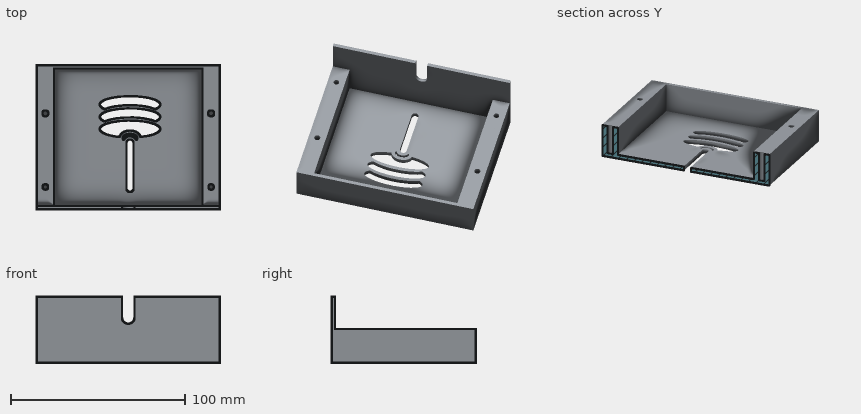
import cadquery as cq

WIDTH = 105.0
DEPTH = 82.62
TRAY_HEIGHT = 19.5
WALL = 2.0
FLOOR = 2.65
SIDE_RAIL = 10.0

PANEL_HEIGHT = 38.0
NOTCH_WIDTH = 7.0
NOTCH_CENTRE_Z = 26.0

HOLE_X = WIDTH / 2 - SIDE_RAIL / 2
FRONT_HOLE_Y = 12.8
FRONT_HOLE_DIAMETER = 3.2
REAR_HOLE_Y = 55.0
REAR_HOLE_DIAMETER = 3.5
HOLE_DEPTH = TRAY_HEIGHT - FLOOR

OPENING_X = 1.0
SLOT_WIDTH = 4.0
SLOT_FRONT_Y = 10.0
SLOT_REAR_Y = 40.0
BRIDGE = 2.0
VENT_RADIUS_X = 17.25
VENT_RADIUS_Y = 4.8
VENT_FRONT_Y = 46.0
VENT_PITCH = 7.0
VENT_COUNT = 3
SMALL_VENT_RADIUS_X = 4.1
SMALL_VENT_RADIUS_Y = 2.4
SMALL_VENT_Y = 40.8


def box(size_x, y_start, y_end, z_start, z_end):
    """Block centred on X, given by its limits along Y and Z."""
    block = cq.Workplane("XY").box(size_x, y_end - y_start, z_end - z_start, centered=(True, False, False))
    return block.translate((0, y_start, z_start))


def make_tray():
    """Open tray closed at the front by the tall panel."""
    tray = box(WIDTH, 0, DEPTH, 0, TRAY_HEIGHT)
    panel = box(WIDTH, 0, WALL, 0, PANEL_HEIGHT)
    pocket = box(WIDTH - 2 * SIDE_RAIL, WALL, DEPTH - WALL, FLOOR, TRAY_HEIGHT)
    return tray.union(panel).cut(pocket)


def make_notch():
    """Cable notch, open at the top edge of the front panel."""
    straight = box(NOTCH_WIDTH, 0, WALL, NOTCH_CENTRE_Z, PANEL_HEIGHT)
    bottom = (
        cq.Workplane("XZ")
        .center(0, NOTCH_CENTRE_Z)
        .circle(NOTCH_WIDTH / 2)
        .extrude(-WALL)
    )
    return straight.union(bottom)


def make_screw_holes(y, diameter):
    """A pair of blind holes going down from the tops of the side rails."""
    return (
        cq.Workplane("XY", origin=(0, 0, TRAY_HEIGHT))
        .pushPoints([(-HOLE_X, y), (HOLE_X, y)])
        .circle(diameter / 2)
        .extrude(-HOLE_DEPTH)
    )


def make_slot(margin=0.0):
    """Straight slot through the floor, grown all round by the margin."""
    length = SLOT_REAR_Y - SLOT_FRONT_Y + 2 * margin
    return (
        cq.Workplane("XY")
        .center(OPENING_X, (SLOT_FRONT_Y + SLOT_REAR_Y) / 2)
        .slot2D(length, SLOT_WIDTH + 2 * margin, 90)
        .extrude(FLOOR)
    )


def make_ellipse(y, radius_x, radius_y, margin=0.0):
    """Elliptical opening through the floor, grown all round by the margin."""
    return (
        cq.Workplane("XY")
        .center(OPENING_X, y)
        .ellipse(radius_x + margin, radius_y + margin)
        .extrude(FLOOR)
    )


def make_floor_openings():
    """Slot and vents; each vent stops one bridge width short of the opening in front of it."""
    vents = [(SMALL_VENT_Y, SMALL_VENT_RADIUS_X, SMALL_VENT_RADIUS_Y)]
    for index in range(VENT_COUNT):
        vents.append((VENT_FRONT_Y + index * VENT_PITCH, VENT_RADIUS_X, VENT_RADIUS_Y))

    openings = make_slot()
    keep_clear = make_slot(BRIDGE)
    for vent in vents:
        openings = openings.union(make_ellipse(*vent).cut(keep_clear))
        keep_clear = keep_clear.union(make_ellipse(*vent, margin=BRIDGE))
    return openings


result = (
    make_tray()
    .cut(make_notch())
    .cut(make_screw_holes(FRONT_HOLE_Y, FRONT_HOLE_DIAMETER))
    .cut(make_screw_holes(REAR_HOLE_Y, REAR_HOLE_DIAMETER))
    .cut(make_floor_openings())
)